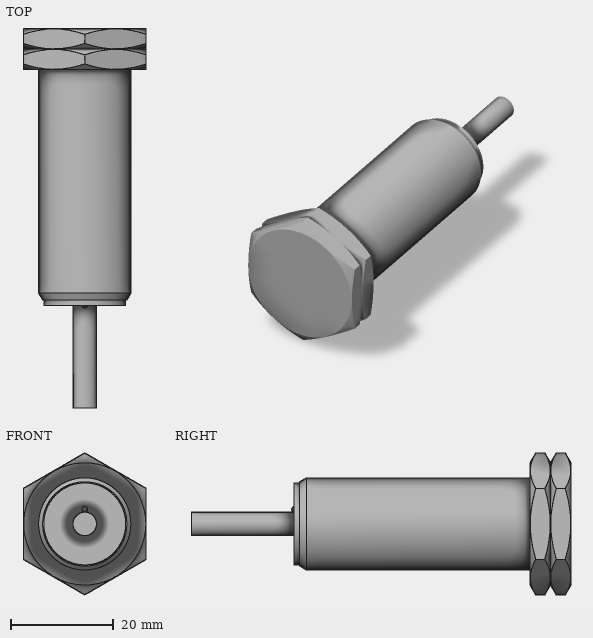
import cadquery as cq
import math

total_length = 74.0

nut_across_flats = 24.0
nut_thickness = 4.0
nut_count = 2
nut_face_radius = 11.9
nut_chamfer_angle = 30.0

barrel_diameter = 18.0
taper_end_radius = 8.2
taper_length = 1.3
cap_radius = 8.0
cap_length = 1.1

cable_radius = 2.3
cable_length = 20.0
dome_radius = 0.6
dome_height = 0.45
dome_offset = 2.8

corner_radius = nut_across_flats / math.sqrt(3)
barrel_radius = barrel_diameter / 2
rear_y = total_length / 2
cable_tip_y = -rear_y
cap_face_y = cable_tip_y + cable_length
taper_end_y = cap_face_y + cap_length
taper_start_y = taper_end_y + taper_length


def revolve_about_y(profile):
    """Revolve a closed (radius, y) outline around the Y axis."""
    return cq.Workplane("XY").polyline(profile).close().revolve(360, (0, 0, 0), (0, 1, 0))


def hex_nut(front_y):
    """Hex nut with corners on +Z and -Z, both faces chamfered conically."""
    back_y = front_y + nut_thickness
    corners = []
    for index in range(6):
        angle = math.radians(90 + 60 * index)
        corners.append((corner_radius * math.cos(angle), corner_radius * math.sin(angle)))
    prism = (
        cq.Workplane("XZ", origin=(0, back_y, 0))
        .polyline(corners)
        .close()
        .extrude(nut_thickness)
    )
    half_thickness = nut_thickness / 2
    cone_radius = nut_face_radius + half_thickness / math.tan(math.radians(nut_chamfer_angle))
    envelope = revolve_about_y([
        (0, front_y),
        (nut_face_radius, front_y),
        (cone_radius, front_y + half_thickness),
        (nut_face_radius, back_y),
        (0, back_y),
    ])
    return prism.intersect(envelope)


def barrel_with_cable():
    """Turned body: barrel, taper, end cap and cable in one outline."""
    return revolve_about_y([
        (0, rear_y),
        (barrel_radius, rear_y),
        (barrel_radius, taper_start_y),
        (taper_end_radius, taper_end_y),
        (cap_radius, taper_end_y),
        (cap_radius, cap_face_y),
        (cable_radius, cap_face_y),
        (cable_radius, cable_tip_y),
        (0, cable_tip_y),
    ])


def indicator_dome():
    """Ball partly sunk in the cap face, just above the cable."""
    center_y = cap_face_y - dome_height + dome_radius
    return cq.Workplane("XY").sphere(dome_radius).translate((0, center_y, dome_offset))


result = barrel_with_cable()
for nut_index in range(nut_count):
    result = result.union(hex_nut(rear_y - (nut_index + 1) * nut_thickness))
result = result.union(indicator_dome())